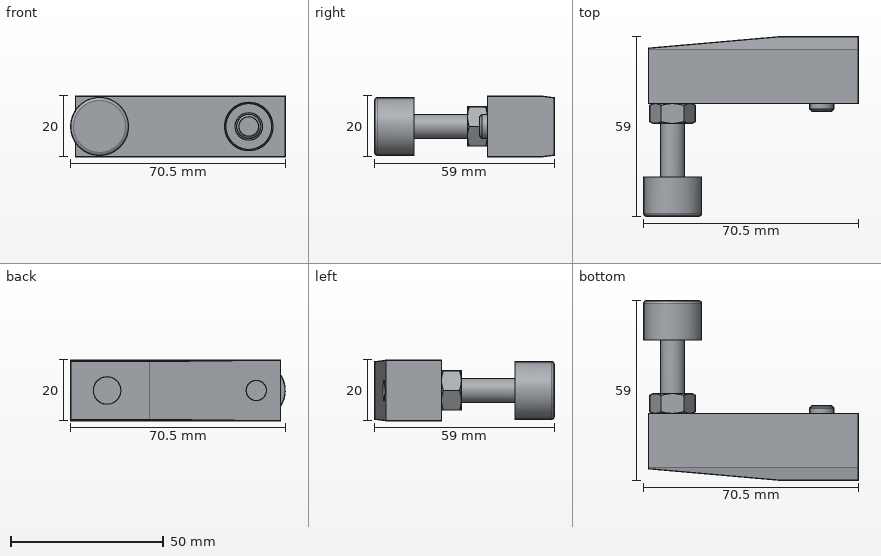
import cadquery as cq
import math

block_length = 68.95
block_depth = 22.0
block_height = 20.0
ramp_length = 43.1
ramp_angle = 5.0
bevel_depth = 4.2
bevel_drop = 0.55

knob_diameter = 19.0
knob_length = 13.0
knob_fillet = 1.0
rod_diameter = 8.0
rod_exposed = 24.05
rod_insertion = 12.0
tap_diameter = 6.6

nut_across_flats = 13.0
nut_thickness = 6.5
nut_chamfer_angle = 30.0

pin_from_right = 12.0
pin_diameter = 8.0
pin_projection = 2.55
pin_chamfer = 0.8
pin_base_diameter = 9.0
recess_mouth_diameter = 15.9
recess_floor_diameter = 15.0
recess_depth = 13.0

screw_x = knob_diameter / 2
block_right = 70.5
block_left = block_right - block_length
pin_x = block_right - pin_from_right
half_height = block_height / 2


def cylinder(x, y_start, y_end, diameter):
    """Cylinder along Y between two Y positions."""
    start = cq.Vector(x, y_start, 0)
    return cq.Workplane(cq.Solid.makeCylinder(diameter / 2, y_end - y_start, start, cq.Vector(0, 1, 0)))


def cone(x, y_start, start_diameter, end_diameter, length):
    """Truncated cone along Y."""
    start = cq.Vector(x, y_start, 0)
    direction = cq.Vector(0, 1, 0)
    return cq.Workplane(cq.Solid.makeCone(start_diameter / 2, end_diameter / 2, length, start, direction))


def make_block():
    bevel_start = block_depth - bevel_depth
    back_half_height = half_height - bevel_drop
    body = (
        cq.Workplane("YZ", origin=(block_left, 0, 0))
        .polyline([
            (0, -half_height),
            (bevel_start, -half_height),
            (block_depth, -back_half_height),
            (block_depth, back_half_height),
            (bevel_start, half_height),
            (0, half_height),
        ])
        .close()
        .extrude(block_length)
    )

    ramp_drop = ramp_length * math.tan(math.radians(ramp_angle))
    wedge = (
        cq.Workplane("XY")
        .polyline([
            (block_left, block_depth - ramp_drop),
            (block_left + ramp_length, block_depth),
            (block_left, block_depth),
        ])
        .close()
        .extrude(half_height, both=True)
    )
    body = body.cut(wedge)

    body = body.cut(cylinder(screw_x, 0, rod_insertion, rod_diameter))
    body = body.cut(cylinder(screw_x, 0, block_depth, tap_diameter))

    body = body.cut(cone(pin_x, 0, recess_mouth_diameter, recess_floor_diameter, recess_depth))
    return body.cut(cylinder(pin_x, recess_depth, block_depth, pin_base_diameter))


def make_screw():
    knob_back = -rod_exposed
    knob = cylinder(screw_x, knob_back - knob_length, knob_back, knob_diameter)
    knob = knob.faces("<Y").edges().fillet(knob_fillet)
    return knob.union(cylinder(screw_x, knob_back, rod_insertion, rod_diameter))


def make_nut():
    across_corners = nut_across_flats / math.cos(math.pi / 6)
    hexagon = (
        cq.Workplane("XZ", origin=(screw_x, 0, 0))
        .polygon(6, across_corners)
        .extrude(nut_thickness)
    )

    face_radius = nut_across_flats / 2
    half_thickness = nut_thickness / 2
    apex_radius = face_radius + half_thickness / math.tan(math.radians(nut_chamfer_angle))
    envelope = (
        cq.Workplane("XY")
        .polyline([
            (0, 0),
            (face_radius, 0),
            (apex_radius, -half_thickness),
            (face_radius, -nut_thickness),
            (0, -nut_thickness),
        ])
        .close()
        .revolve(360, (0, 0), (0, 1))
        .translate((screw_x, 0, 0))
    )
    return hexagon.intersect(envelope).cut(cylinder(screw_x, -nut_thickness, 0, rod_diameter))


def make_pin():
    pin = cylinder(pin_x, -pin_projection, recess_depth, pin_diameter)
    pin = pin.faces("<Y").edges().chamfer(pin_chamfer)
    return pin.union(cylinder(pin_x, recess_depth, block_depth, pin_base_diameter))


block = make_block()
screw = make_screw()
nut = make_nut()
pin = make_pin()

bodies = [block, screw, nut, pin]
result = cq.Compound.makeCompound([body.solids().val() for body in bodies])